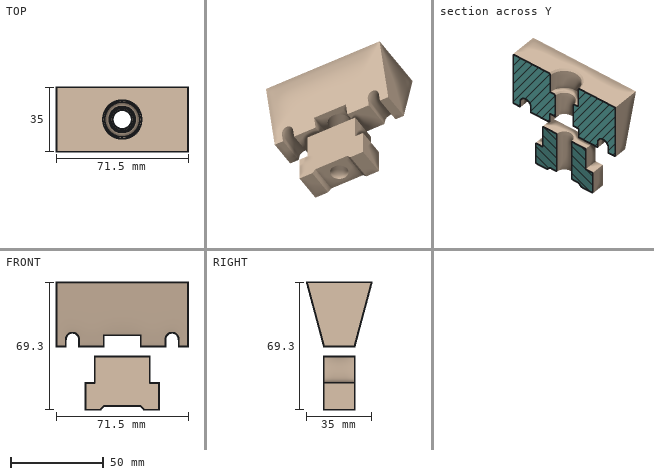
import cadquery as cq
import math

block_length = 71.5
block_width = 35.0
block_height = 35.0
land_height = 0.67
taper_angle = 15.0

slot_width = 7.0
slot_spacing = 54.0
slot_depth = 7.5
channel_width = 20.0
channel_depth = 6.1

screw_hole_diameter = 12.5
screw_hole_chamfer = 0.8
counterbore_diameter = 19.0
counterbore_chamfer = 1.0
counterbore_depth = 13.0

nut_width = 17.0
nut_base_length = 40.0
nut_base_height = 14.6
nut_neck_length = 30.0
nut_height = 29.0
nut_hole_diameter = 10.2
relief_depth = 2.0
relief_length = 20.0

body_gap = 5.3
block_bottom = nut_height + body_gap
block_top = block_bottom + block_height


def vertical_cylinder(diameter, bottom, top):
    return cq.Workplane("XY").workplane(offset=bottom).circle(diameter / 2).extrude(top - bottom)


def countersink(diameter, chamfer, top):
    """Cone that breaks the upper edge of a hole at 45 degrees."""
    radius = diameter / 2
    cone = cq.Solid.makeCone(radius, radius + chamfer, chamfer, pnt=cq.Vector(0, 0, top - chamfer))
    return cq.Workplane(obj=cone)


def tapered_body():
    half_top = block_width / 2
    land_bottom = block_top - land_height
    taper_inset = (land_bottom - block_bottom) * math.tan(math.radians(taper_angle))
    half_bottom = half_top - taper_inset
    return (
        cq.Workplane("YZ")
        .moveTo(-half_bottom, block_bottom)
        .lineTo(half_bottom, block_bottom)
        .lineTo(half_top, land_bottom)
        .lineTo(half_top, block_top)
        .lineTo(-half_top, block_top)
        .lineTo(-half_top, land_bottom)
        .close()
        .extrude(block_length / 2, both=True)
    )


def round_topped_slot(center_x):
    radius = slot_width / 2
    slot_top = block_bottom + slot_depth
    return (
        cq.Workplane("XZ")
        .moveTo(center_x - radius, block_bottom)
        .lineTo(center_x - radius, slot_top - radius)
        .threePointArc((center_x, slot_top), (center_x + radius, slot_top - radius))
        .lineTo(center_x + radius, block_bottom)
        .close()
        .extrude(block_width / 2, both=True)
    )


def underside_channel():
    return (
        cq.Workplane("XY")
        .workplane(offset=block_bottom)
        .rect(channel_width, block_width)
        .extrude(channel_depth)
    )


def make_clamp_block():
    counterbore_floor = block_top - counterbore_depth
    block = tapered_body().cut(underside_channel())
    for side in (-1, 1):
        block = block.cut(round_topped_slot(side * slot_spacing / 2))
    block = block.cut(vertical_cylinder(screw_hole_diameter, block_bottom, block_top))
    block = block.cut(countersink(screw_hole_diameter, screw_hole_chamfer, counterbore_floor))
    block = block.cut(vertical_cylinder(counterbore_diameter, counterbore_floor, block_top))
    return block.cut(countersink(counterbore_diameter, counterbore_chamfer, block_top))


def make_t_nut():
    half_relief = relief_length / 2
    half_base = nut_base_length / 2
    half_neck = nut_neck_length / 2
    nut = (
        cq.Workplane("XZ")
        .moveTo(0, relief_depth)
        .lineTo(half_relief, relief_depth)
        .lineTo(half_relief + relief_depth, 0)
        .lineTo(half_base, 0)
        .lineTo(half_base, nut_base_height)
        .lineTo(half_neck, nut_base_height)
        .lineTo(half_neck, nut_height)
        .lineTo(0, nut_height)
        .mirrorY()
        .extrude(nut_width / 2, both=True)
    )
    return nut.cut(vertical_cylinder(nut_hole_diameter, 0, nut_height))


clamp_block = make_clamp_block()
t_nut = make_t_nut()

result = cq.Compound.makeCompound([clamp_block.val(), t_nut.val()])